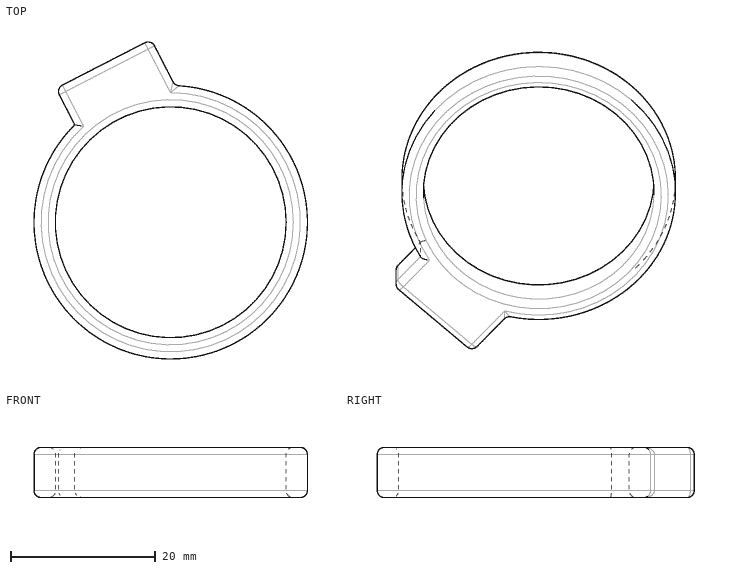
import cadquery as cq
import math

ring_outer_diameter = 38.0
ring_bore_diameter = 32.0
ring_height = 7.0

block_tilt = 27.2
block_reach = 23.8
block_width = 14.88
block_offset = 1.75

edge_radius = 1.0
inner_corner_radius = 1.0


def make_ring_disc():
    return cq.Workplane("XY").circle(ring_outer_diameter / 2).extrude(ring_height)


def make_bore():
    return cq.Workplane("XY").circle(ring_bore_diameter / 2).extrude(ring_height)


def make_block():
    block = (
        cq.Workplane("XY")
        .center(block_offset, block_reach / 2)
        .rect(block_width, block_reach)
        .extrude(ring_height)
        .edges("|Z and >Y")
        .fillet(edge_radius)
    )
    return block.rotate((0, 0, 0), (0, 0, 1), block_tilt)


def inner_corner_point():
    """Mid-height point of the edge where the +X side of the block meets the ring."""
    ring_radius = ring_outer_diameter / 2
    block_side = block_offset + block_width / 2
    corner_angle = math.acos(block_side / ring_radius) + math.radians(block_tilt)
    return (
        ring_radius * math.cos(corner_angle),
        ring_radius * math.sin(corner_angle),
        ring_height / 2,
    )


def make_housing():
    body = make_ring_disc().union(make_block()).cut(make_bore())
    body = body.faces("<Z or >Z").edges().fillet(edge_radius)
    inner_corner = cq.selectors.NearestToPointSelector(inner_corner_point())
    return body.edges("|Z").edges(inner_corner).fillet(inner_corner_radius)


housing = make_housing()
result = cq.Compound.makeCompound([housing.val()])